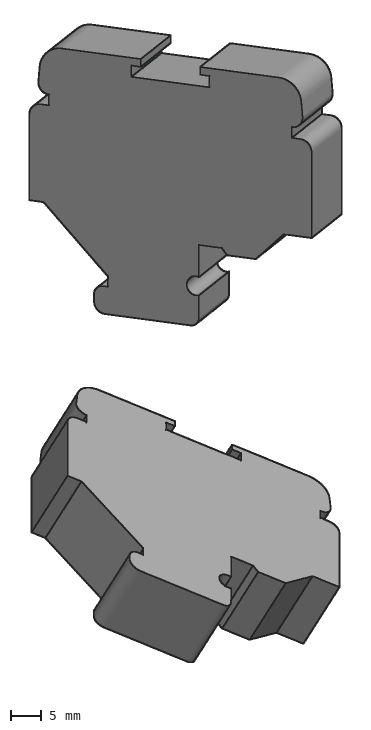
import cadquery as cq
import math

width = 50.0
depth = 13.0
height = 45.0
half_width = width / 2

mouth_half_width = 5.25
pocket_half_width = 6.9
lip_thickness = 1.35
slot_depth = 3.3

shoulder_top_half_width = 22.85
shoulder_lean = math.radians(5)
shoulder_bottom_z = 36.7
shoulder_top_radius = 4.0
shoulder_bottom_radius = 1.9
notch_half_width = 21.5

body_top_z = 34.85
body_bottom_z = 17.95
body_radius = 2.0

slope_start_x = -22.45
neck_left_x = -11.05
slope_end_z = body_bottom_z - (neck_left_x - slope_start_x)
foot_left_x = -13.55
foot_right_x = 5.05
foot_top_z = 4.8
foot_top_radius = 1.6
foot_left_radius = 2.0
foot_right_radius = 1.5

groove_radius = 1.65
groove_x = 4.55
groove_z = 7.0

step_z = 14.15
pad_z = 13.0
step_end_x = 9.1
pad_start_x = 10.05
pad_end_x = 15.1
pad_slope_end_x = pad_end_x + body_bottom_z - pad_z

shoulder_bottom_half_width = (
    shoulder_top_half_width + (height - shoulder_bottom_z) * math.tan(shoulder_lean)
)

right_outline = [
    (pocket_half_width, height - slot_depth),
    (pocket_half_width, height - lip_thickness),
    (mouth_half_width, height - lip_thickness),
    (mouth_half_width, height),
    (shoulder_top_half_width, height),
    (shoulder_bottom_half_width, shoulder_bottom_z),
    (notch_half_width, shoulder_bottom_z),
    (notch_half_width, body_top_z),
    (half_width, body_top_z),
    (half_width, body_bottom_z),
]
left_outline = [(-x, z) for x, z in reversed(right_outline)]

lower_outline = [
    (pad_slope_end_x, body_bottom_z),
    (pad_end_x, pad_z),
    (pad_start_x, pad_z),
    (step_end_x, step_z),
    (foot_right_x, step_z),
    (foot_right_x, 0),
    (foot_left_x, 0),
    (foot_left_x, foot_top_z),
    (neck_left_x, foot_top_z),
    (neck_left_x, slope_end_z),
    (slope_start_x, body_bottom_z),
]


def extrude_outline(points):
    """Extrude a closed XZ outline through the depth, centred on Y = 0."""
    return cq.Workplane("XZ").polyline(points).close().extrude(depth / 2, both=True)


def round_corner(solid, x, z, radius):
    """Round the full-depth edge nearest to the given XZ corner."""
    edge = solid.edges("|Y").edges(cq.NearestToPointSelector((x, 0, z)))
    return edge.fillet(radius)


result = extrude_outline(right_outline + lower_outline + left_outline)

for side in (-1, 1):
    result = round_corner(result, side * shoulder_top_half_width, height, shoulder_top_radius)
    result = round_corner(
        result, side * shoulder_bottom_half_width, shoulder_bottom_z, shoulder_bottom_radius
    )
    result = round_corner(result, side * half_width, body_top_z, body_radius)

result = round_corner(result, foot_left_x, foot_top_z, foot_top_radius)
result = round_corner(result, foot_left_x, 0, foot_left_radius)
result = round_corner(result, foot_right_x, 0, foot_right_radius)

groove = (
    cq.Workplane("XZ")
    .center(groove_x, groove_z)
    .circle(groove_radius)
    .extrude(depth / 2, both=True)
)
result = result.cut(groove)